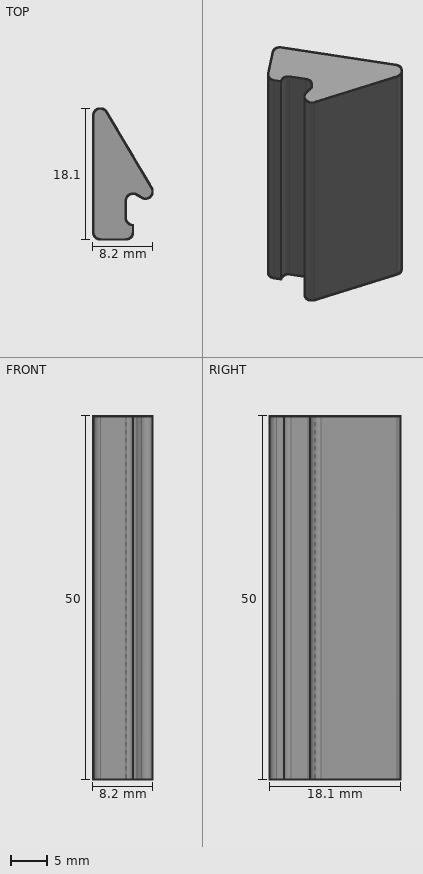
import cadquery as cq
import math

length = 50.0
width = 8.2
depth = 18.05
radius = 1.0
groove_wall_x = 4.5
foot_height = 2.0
groove_top_y = 6.3
nose_center_y = 6.6

foot_width = groove_wall_x + radius

apex_center = (radius, depth - radius)
nose_center = (width - radius, nose_center_y)
groove_top_center = (groove_wall_x + radius, groove_top_y - radius)
groove_floor_center = (groove_wall_x + radius, foot_height + radius)
foot_center = (foot_width - radius, radius)
heel_center = (radius, radius)


def on_arc(center, degrees):
    """Point on the corner circle at the given angle from +X."""
    angle = math.radians(degrees)
    return (center[0] + radius * math.cos(angle), center[1] + radius * math.sin(angle))


def span(start, end):
    """Distance and direction in degrees from one point to another."""
    dx = end[0] - start[0]
    dy = end[1] - start[1]
    return math.hypot(dx, dy), math.degrees(math.atan2(dy, dx))


slope_direction = span(apex_center, nose_center)[1]
slope_normal = slope_direction + 90

center_distance, center_direction = span(groove_top_center, nose_center)
underside_normal = center_direction + math.degrees(math.acos(2 * radius / center_distance))
nose_end_angle = underside_normal - 180

profile = (
    cq.Workplane("XY")
    .moveTo(*on_arc(heel_center, 180))
    .lineTo(*on_arc(apex_center, 180))
    .threePointArc(on_arc(apex_center, (180 + slope_normal) / 2), on_arc(apex_center, slope_normal))
    .lineTo(*on_arc(nose_center, slope_normal))
    .threePointArc(
        on_arc(nose_center, (slope_normal + nose_end_angle) / 2),
        on_arc(nose_center, nose_end_angle),
    )
    .lineTo(*on_arc(groove_top_center, underside_normal))
    .threePointArc(
        on_arc(groove_top_center, (underside_normal + 180) / 2),
        on_arc(groove_top_center, 180),
    )
    .lineTo(*on_arc(groove_floor_center, 180))
    .threePointArc(on_arc(groove_floor_center, 225), on_arc(groove_floor_center, 270))
    .lineTo(*on_arc(foot_center, 0))
    .threePointArc(on_arc(foot_center, -45), on_arc(foot_center, -90))
    .lineTo(*on_arc(heel_center, -90))
    .threePointArc(on_arc(heel_center, 225), on_arc(heel_center, 180))
    .close()
)

result = profile.extrude(length)